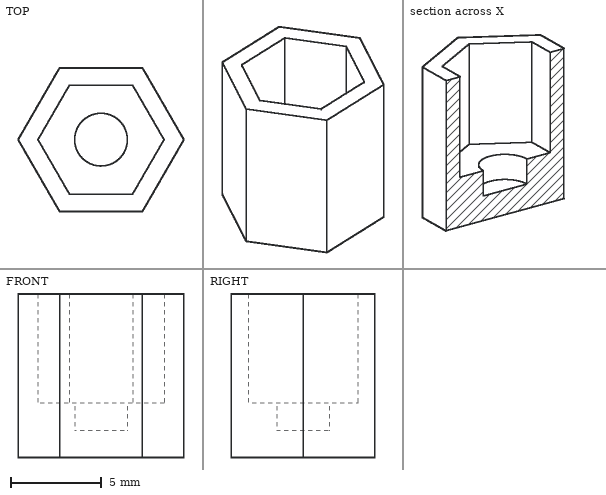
import cadquery as cq
import math

body_across_flats = 7.9
body_height = 9.0
socket_across_flats = 6.0
socket_depth = 6.0
hole_diameter = 2.9
hole_depth = 1.5


def across_corners(across_flats):
    """Corner-to-corner width of a regular hexagon."""
    return across_flats / math.cos(math.pi / 6)


def make_body():
    """Hexagonal bar standing on Z = 0, with two corners on the X axis."""
    return cq.Workplane("XY").polygon(6, across_corners(body_across_flats)).extrude(body_height)


def cut_socket(body):
    """Hexagonal socket sunk from the top, aligned with the outer hexagon."""
    return (
        body.faces(">Z")
        .workplane()
        .polygon(6, across_corners(socket_across_flats))
        .cutBlind(-socket_depth)
    )


def cut_blind_hole(body):
    """Round blind hole in the middle of the socket floor."""
    socket_floor = body_height - socket_depth
    hole = (
        cq.Workplane("XY")
        .workplane(offset=socket_floor - hole_depth)
        .circle(hole_diameter / 2)
        .extrude(hole_depth)
    )
    return body.cut(hole)


result = cut_blind_hole(cut_socket(make_body()))